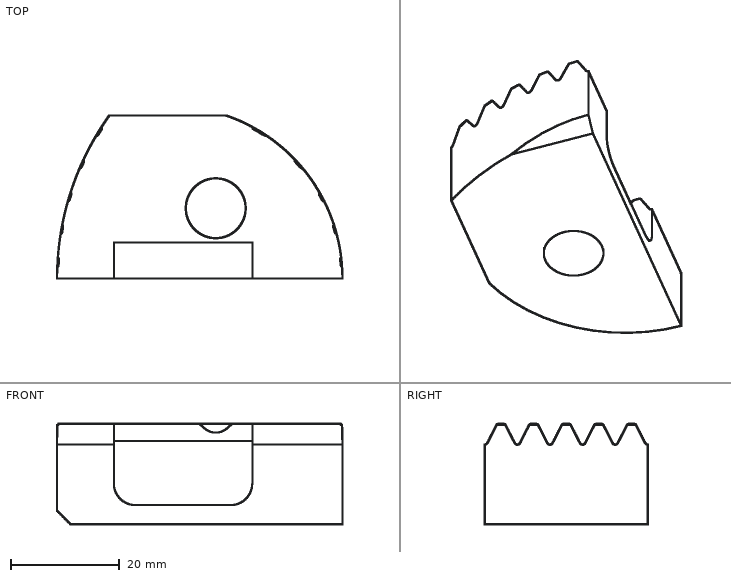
import cadquery as cq
import math

LENGTH = 52.5
DEPTH = 30.0
HEIGHT = 18.5

LEFT_RADIUS = 51.5
RIGHT_RADIUS = 31.7

TOOTH_COUNT = 5
TOOTH_HEIGHT = 3.85
FLANK_ANGLE = 27.0
TOOTH_ROUNDING = 0.5
CREST_END_CHAMFER = 0.25

HOLE_DIAMETER = 10.95
HOLE_X = 29.2
HOLE_Y = 12.9

POCKET_LEFT = 10.45
POCKET_WIDTH = 25.45
POCKET_DEPTH = 6.65
POCKET_FLOOR = 3.5
POCKET_CORNER_RADIUS = 4.0

BASE_CHAMFER = 2.5

SELECTION_MARGIN = 2.6


def arc_offset(radius, y):
    """Distance in X from an arc's centre to the arc at depth y."""
    return math.sqrt(radius**2 - y**2)


def make_blank():
    """Slab with two curved sides, bevelled where those sides meet the top."""
    left_centre = LEFT_RADIUS
    right_centre = LENGTH - RIGHT_RADIUS
    middle = DEPTH / 2
    outline = (
        cq.Workplane("XY")
        .moveTo(0, 0)
        .lineTo(LENGTH, 0)
        .threePointArc(
            (right_centre + arc_offset(RIGHT_RADIUS, middle), middle),
            (right_centre + arc_offset(RIGHT_RADIUS, DEPTH), DEPTH),
        )
        .lineTo(left_centre - arc_offset(LEFT_RADIUS, DEPTH), DEPTH)
        .threePointArc(
            (left_centre - arc_offset(LEFT_RADIUS, middle), middle),
            (0, 0),
        )
        .close()
    )
    slab = outline.extrude(HEIGHT)
    return slab.faces(">Z").edges("%CIRCLE").chamfer(CREST_END_CHAMFER)


def make_toothed_bar():
    """Long bar with a rounded tooth profile on top, one tooth longer than the part at each end."""
    pitch = DEPTH / TOOTH_COUNT
    angle = math.radians(FLANK_ANGLE)
    root_drop = TOOTH_ROUNDING * (1 / math.sin(angle) - 1)
    sharp_height = TOOTH_HEIGHT + root_drop
    sharp_root_z = HEIGHT - sharp_height
    flank_run = sharp_height * math.tan(angle)

    bar_start = -pitch
    bar_end = DEPTH + pitch
    points = [(bar_start, 0), (bar_start, sharp_root_z)]
    for tooth in range(-1, TOOTH_COUNT + 1):
        start = tooth * pitch
        points.append((start + flank_run, HEIGHT))
        points.append((start + pitch - flank_run, HEIGHT))
        points.append((start + pitch, sharp_root_z))
    points.append((bar_end, 0))

    bar = cq.Workplane("YZ").polyline(points).close().extrude(LENGTH)
    profile_edges = cq.selectors.BoxSelector(
        (0, bar_start + flank_run / 2, sharp_root_z - SELECTION_MARGIN),
        (LENGTH, bar_end - flank_run / 2, HEIGHT + SELECTION_MARGIN),
    )
    return bar.edges("|X").edges(profile_edges).fillet(TOOTH_ROUNDING)


def make_hole():
    """Round cutter through the full height."""
    return cq.Workplane("XY").center(HOLE_X, HOLE_Y).circle(HOLE_DIAMETER / 2).extrude(HEIGHT)


def make_pocket():
    """Pocket cutter with rounded lower corners."""
    box = cq.Workplane("XY").box(POCKET_WIDTH, POCKET_DEPTH, HEIGHT, centered=False)
    rounded = box.faces("<Z").edges("|Y").fillet(POCKET_CORNER_RADIUS)
    return rounded.translate((POCKET_LEFT, 0, POCKET_FLOOR))


def make_base_chamfer():
    """Flat 45 degree cut under the left side, parallel to Y."""
    return (
        cq.Workplane("XZ")
        .polyline([(0, 0), (BASE_CHAMFER, 0), (0, BASE_CHAMFER)])
        .close()
        .extrude(-DEPTH)
    )


result = (
    make_blank()
    .intersect(make_toothed_bar())
    .cut(make_hole())
    .cut(make_pocket())
    .cut(make_base_chamfer())
)